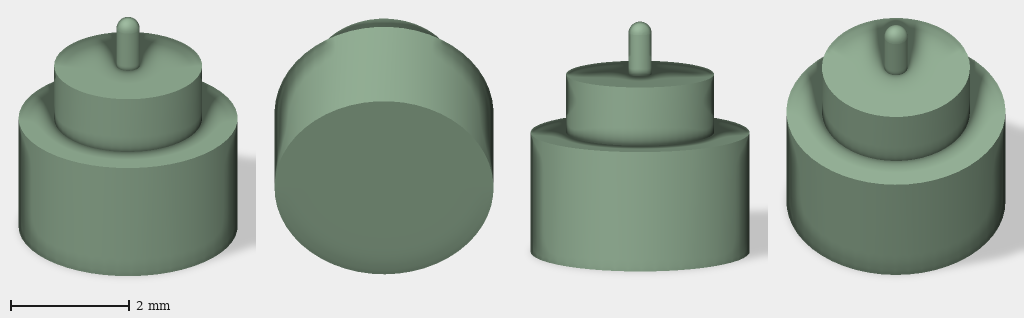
import cadquery as cq

total_height = 3.95
body_diameter = 3.7
body_height = 2.05
collar_diameter = 2.5
collar_height = 1.0
pin_diameter = 0.39

collar_top = body_height + collar_height
pin_height = total_height - collar_top
pin_radius = pin_diameter / 2


def cylinder(diameter, height, base):
    """Upright cylinder on the Z axis, starting at height base."""
    return cq.Workplane("XY").workplane(offset=base).circle(diameter / 2).extrude(height)


body = cylinder(body_diameter, body_height, 0)
collar = cylinder(collar_diameter, collar_height, body_height)

shank_height = pin_height - pin_radius
shank = cylinder(pin_diameter, shank_height, collar_top)
tip = cq.Workplane("XY").sphere(pin_radius).translate((0, 0, collar_top + shank_height))

result = body.union(collar).union(shank).union(tip)